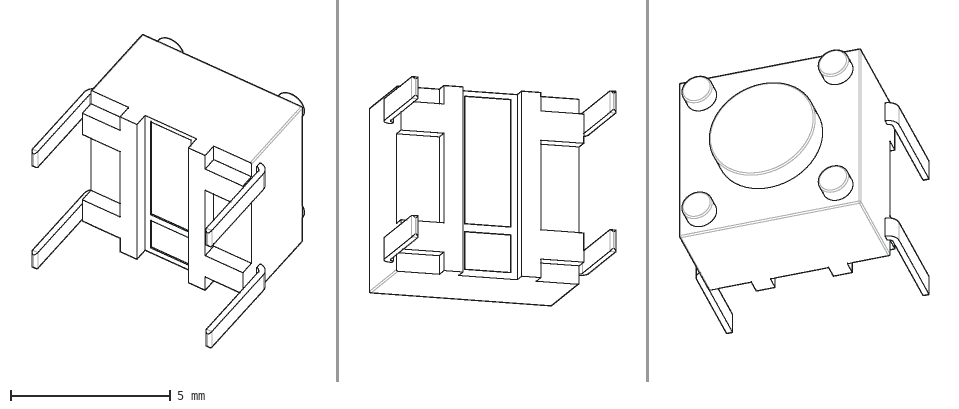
import cadquery as cq


body_size = 6.0
body_depth = 3.495
floor_height = 0.5
edge_radius = 0.05

side_relief_width = 1.41
corner_relief_height = 0.6
middle_relief_height = 2.9
channel_width = 1.925
channel_depth = 0.48
window_width = 1.52
window_depth = 0.05
upper_window_bottom, upper_window_top = -1.3, 2.83
lower_window_bottom, lower_window_top = -2.78, -1.56

button_diameter = 3.5
button_height = 0.8
post_diameter = 1.0
post_height = 0.505
post_offset = 2.255
cap_radius = 0.05

lead_overhang = 0.35
lead_thickness = 0.2
lead_width = 0.7
lead_offset = 2.25
lead_shoulder = 1.0
lead_embed = 0.135
lead_drop = 2.45
tip_radius = 0.095

half_body = body_size / 2


def box_between(x_range, y_range, z_range):
    """Axis-aligned box spanning the given ranges."""
    spans = [end - start for start, end in (x_range, y_range, z_range)]
    corner = cq.Vector(x_range[0], y_range[0], z_range[0])
    return cq.Workplane("XY").box(*spans, centered=False).translate(corner)


def make_housing():
    """Square block with rounded upright edges and a rounded +Y rim."""
    block = box_between((-half_body, half_body), (0, body_depth), (-half_body, half_body))
    return block.edges("|Y or >Y").fillet(edge_radius)


def cut_side_reliefs(housing):
    """Remove a middle and two corner reliefs along each X side."""
    corner_start = half_body - corner_relief_height
    z_ranges = [
        (-half_body, -corner_start),
        (-middle_relief_height / 2, middle_relief_height / 2),
        (corner_start, half_body),
    ]
    inner_x = half_body - side_relief_width
    for z_range in z_ranges:
        for x_range in [(-half_body, -inner_x), (inner_x, half_body)]:
            housing = housing.cut(box_between(x_range, (0, floor_height), z_range))
    return housing


def cut_channel(housing):
    """Cut the central channel and the two shallow windows in its floor."""
    channel_x = (-channel_width / 2, channel_width / 2)
    housing = housing.cut(box_between(channel_x, (0, channel_depth), (-half_body, half_body)))
    window_x = (-window_width / 2, window_width / 2)
    window_y = (channel_depth, channel_depth + window_depth)
    for z_range in [
        (upper_window_bottom, upper_window_top),
        (lower_window_bottom, lower_window_top),
    ]:
        housing = housing.cut(box_between(window_x, window_y, z_range))
    return housing


def make_cap(x, z, diameter, height):
    """Round boss standing on the +Y face, with a rounded outer rim."""
    plane = cq.Plane(origin=(x, body_depth, z), xDir=(1, 0, 0), normal=(0, 1, 0))
    boss = cq.Workplane(plane).circle(diameter / 2).extrude(height)
    return boss.faces(">Y").edges().fillet(cap_radius)


def make_lead():
    """Bent flat lead on the +X side, centred on Z = 0."""
    outer_x = half_body + lead_overhang
    inner_x = outer_x - lead_thickness
    root_x = half_body - lead_embed
    bend_y = lead_shoulder - lead_overhang
    inner_bend = lead_overhang - lead_thickness
    lead = (
        cq.Workplane("XY", origin=(0, 0, -lead_width / 2))
        .moveTo(root_x, lead_shoulder)
        .lineTo(half_body, lead_shoulder)
        .radiusArc((outer_x, bend_y), lead_overhang)
        .lineTo(outer_x, -lead_drop)
        .lineTo(inner_x, -lead_drop)
        .lineTo(inner_x, bend_y)
        .radiusArc((half_body, bend_y + inner_bend), -inner_bend)
        .lineTo(root_x, bend_y + inner_bend)
        .close()
        .extrude(lead_width)
    )
    return lead.faces("<Y").edges().fillet(tip_radius)


result = cut_channel(cut_side_reliefs(make_housing()))

result = result.union(make_cap(0, 0, button_diameter, button_height))
for post_x in (-post_offset, post_offset):
    for post_z in (-post_offset, post_offset):
        result = result.union(make_cap(post_x, post_z, post_diameter, post_height))

right_lead = make_lead()
left_lead = right_lead.mirror("YZ")
for lead_z in (-lead_offset, lead_offset):
    for lead in (left_lead, right_lead):
        result = result.union(lead.translate((0, 0, lead_z)))